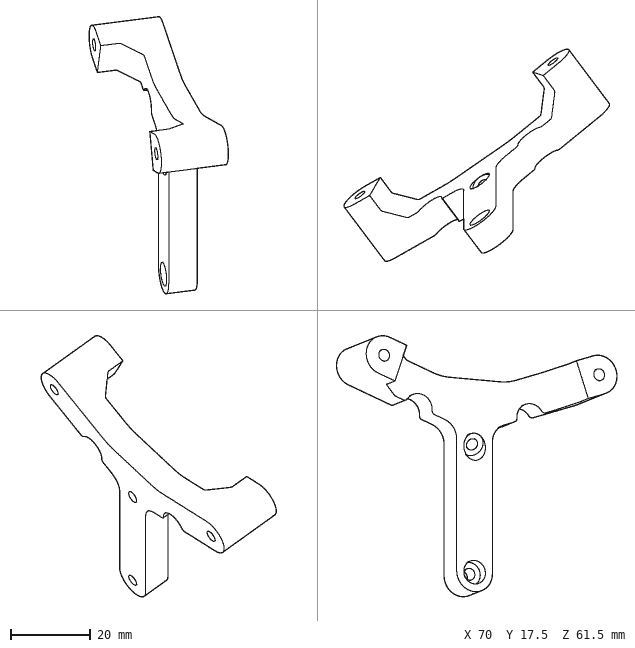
import cadquery as cq
import math

overall_width = 70.0
overall_depth = 17.5
stem_width = 10.0
end_radius = stem_width / 2
plate_thickness = 7.5

pad_x = overall_width / 2 - end_radius
pad_z = 51.45
arm_angle = 19.4
top_edge_z = 49.5
top_fillet = 12.5
neck_fillet = 5.0

notch_x = 15.6
notch_radius = 3.8
notch_drop = 0.3
notch_corner_fillet = 1.0

pad_wall_offset = 5.0
ramp_length = 5.0
ramp_rise = 5.0
ramp_fillet = 1.0

hole_diameter = 3.0
counterbore_diameter = 6.0
stem_counterbore_depth = 3.0
tilted_hole_z = 32.2
tilted_hole_angle = 30.0

plate_front = -plate_thickness
pad_front = -overall_depth

slope = math.tan(math.radians(arm_angle))


def arm_axis_z(x):
    """Height of the right arm's centre line at x."""
    return pad_z - (pad_x - x) * slope


def prism(sketch):
    """Extrude an XZ sketch from the mounting face to the pad faces."""
    return sketch.extrude(overall_depth)


def cylinder(diameter, start, direction, length):
    """Solid cylinder from start along direction."""
    solid = cq.Solid.makeCylinder(diameter / 2, length, start, direction)
    return cq.Workplane(obj=solid)


def make_body():
    """Y-shaped outline with all its edge fillets, at full pad depth."""
    tilt = math.radians(arm_angle)
    dx = end_radius * math.sin(tilt)
    dz = end_radius * math.cos(tilt)
    edge_rise = end_radius / math.cos(tilt)
    stem_arc_offset = end_radius * math.sqrt(0.5)
    top_corner_x = pad_x - (pad_z + edge_rise - top_edge_z) / slope
    neck_corner_z = arm_axis_z(end_radius) - edge_rise
    body = prism(
        cq.Workplane("XZ")
        .moveTo(0, -end_radius)
        .threePointArc((stem_arc_offset, -stem_arc_offset), (end_radius, 0))
        .lineTo(end_radius, neck_corner_z)
        .lineTo(pad_x + dx, pad_z - dz)
        .threePointArc((pad_x + dz, pad_z + dx), (pad_x - dx, pad_z + dz))
        .lineTo(top_corner_x, top_edge_z)
        .lineTo(0, top_edge_z)
        .close()
    )
    body = fillet_corner(body, top_corner_x, top_edge_z, top_fillet)
    body = fillet_corner(body, end_radius, neck_corner_z, neck_fillet)

    notch_z = arm_axis_z(notch_x) - edge_rise - notch_drop / math.cos(tilt)
    notch = prism(cq.Workplane("XZ").center(notch_x, notch_z).circle(notch_radius))
    body = body.cut(notch)
    half_chord = math.sqrt(notch_radius**2 - notch_drop**2)
    chord_mid_x = notch_x - notch_drop * math.sin(tilt)
    for side in (-1, 1):
        corner_x = chord_mid_x + side * half_chord * math.cos(tilt)
        corner_z = arm_axis_z(corner_x) - edge_rise
        body = fillet_corner(body, corner_x, corner_z, notch_corner_fillet)
    return body.union(body.mirror("YZ")).clean()


def fillet_corner(body, x, z, radius):
    """Round the depth-wise edge that passes through (x, z)."""
    nearest = cq.selectors.NearestToPointSelector((x, pad_front / 2, z))
    return body.edges("|Y").edges(nearest).fillet(radius)


def make_recess():
    """Space in front of the plate, bounded by a filleted wall and ramp on each arm."""
    ramp_foot_y = plate_front - ramp_rise
    ramp_top_x = -pad_wall_offset - ramp_length
    inner_x = -2 * pad_x
    half = (
        cq.Workplane("XY")
        .polyline([
            (inner_x, pad_front),
            (-pad_wall_offset, pad_front),
            (-pad_wall_offset, ramp_foot_y),
            (ramp_top_x, plate_front),
            (inner_x, plate_front),
        ])
        .close()
        .extrude(overall_width, both=True)
    )
    for x, y in ((-pad_wall_offset, ramp_foot_y), (ramp_top_x, plate_front)):
        nearest = cq.selectors.NearestToPointSelector((x, y, 0))
        half = half.edges(nearest).fillet(ramp_fillet)
    half = half.rotate((0, 0, 0), (0, 1, 0), -arm_angle).translate((pad_x, 0, pad_z))
    block_size = 4 * overall_width
    right_side = cq.Workplane("XY").box(block_size, block_size, block_size, centered=(False, True, True))
    half = half.intersect(right_side)
    return half.union(half.mirror("YZ"))


def cut_pad_holes(body):
    for x in (-pad_x, pad_x):
        start = cq.Vector(x, pad_front, pad_z)
        body = body.cut(cylinder(hole_diameter, start, cq.Vector(0, 1, 0), overall_depth))
    return body


def cut_stem_hole(body):
    start = cq.Vector(0, plate_front, 0)
    inward = cq.Vector(0, 1, 0)
    body = body.cut(cylinder(hole_diameter, start, inward, plate_thickness))
    return body.cut(cylinder(counterbore_diameter, start, inward, stem_counterbore_depth))


def cut_tilted_hole(body):
    """Rising hole whose counterbore floor just meets the plate face at its top."""
    tilt = math.radians(tilted_hole_angle)
    inward = cq.Vector(0, math.cos(tilt), math.sin(tilt))
    surface_point = cq.Vector(0, plate_front, tilted_hole_z)
    floor_depth = counterbore_diameter / 2 * math.tan(tilt)
    start = surface_point - inward * overall_depth
    body = body.cut(cylinder(counterbore_diameter, start, inward, overall_depth + floor_depth))
    return body.cut(cylinder(hole_diameter, start, inward, 2 * overall_depth))


result = make_body().cut(make_recess())
result = cut_pad_holes(result)
result = cut_stem_hole(result)
result = cut_tilted_hole(result)